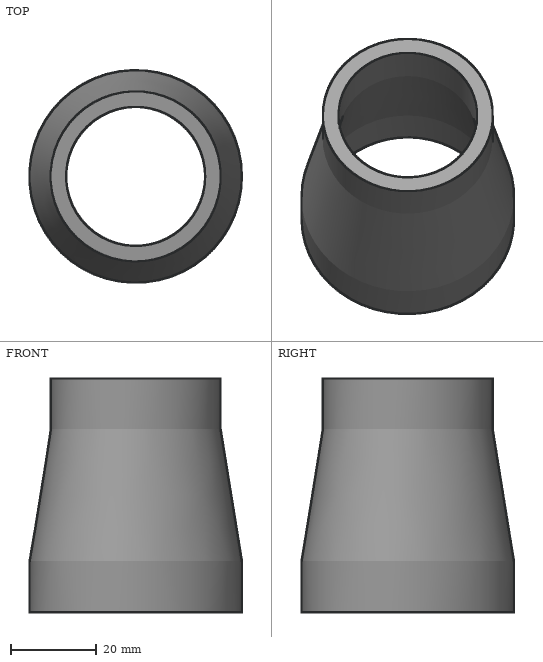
import cadquery as cq

height = 55.0
bottom_diameter = 50.0
top_diameter = 40.0
wall = 3.7
collar_height = 12.0
bore_bend_drop = 0.5

bottom_radius = bottom_diameter / 2
top_radius = top_diameter / 2
cone_bottom = collar_height
cone_top = height - collar_height


def reducer_solid(lower_radius, upper_radius, lower_bend, upper_bend):
    """Revolve a cylinder-cone-cylinder outline about the Z axis."""
    return (
        cq.Workplane("XZ")
        .moveTo(0, 0)
        .lineTo(lower_radius, 0)
        .lineTo(lower_radius, lower_bend)
        .lineTo(upper_radius, upper_bend)
        .lineTo(upper_radius, height)
        .lineTo(0, height)
        .close()
        .revolve(360, (0, 0, 0), (0, 1, 0))
    )


body = reducer_solid(bottom_radius, top_radius, cone_bottom, cone_top)
bore = reducer_solid(
    bottom_radius - wall,
    top_radius - wall,
    cone_bottom - bore_bend_drop,
    cone_top - bore_bend_drop,
)

result = body.cut(bore)